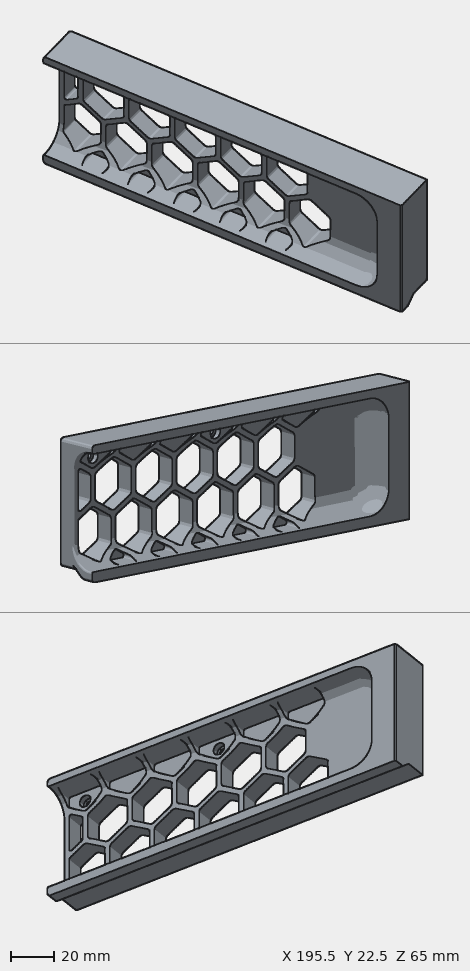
import cadquery as cq
import math

TOLERANCE = 0.02

LENGTH = 195.5
DEPTH = 22.5
HEIGHT = 65.0

LIP_DEPTH = 5.7
RAMP_END = 10.5
REAR_RAISE = 4.0

END_FILLET = 2.0
FRONT_CORNER_CHAMFER = 0.8
BACK_CHAMFER = 0.5

TROUGH_END = 182.2
TROUGH_BOTTOM = 5.0
TROUGH_TOP = 60.8
TROUGH_DEPTH = 13.1
TROUGH_CORNER = 11.7
TROUGH_FLOOR_FILLET = 11.0
MOUTH_FILLET = 1.0

HEX_FLATS = 22.3
HEX_PITCH = 25.0
ROW_PITCH = HEX_PITCH * math.sqrt(3) / 2
HEX_CORNER = 2.3
TRIMMED_CORNER = 1.2
FIRST_HEX_X = 12.1
LOWER_ROW_Z = 19.4
HEX_MARGIN = 3.1
LOWER_ROW_COUNT = 6
UPPER_ROW_COUNT = 5

SCREW_DIAMETER = 3.1
HEAD_DIAMETER = 6.0
HEAD_DEPTH = 3.1
SCREW_Z = 55.5
SCREW_CELLS = (0, 3)


def front_box(x_start, x_end, z_start, z_end, depth):
    """Block running from the front face back to the given depth."""
    return cq.Workplane("XY").box(
        x_end - x_start, depth, z_end - z_start, centered=False
    ).translate((x_start, 0, z_start))


def end_rounded_box(z_start, depth):
    """Full-length block whose top and bottom edges on the -X end are rounded."""
    box = front_box(0, LENGTH, z_start, HEIGHT, depth)
    return box.faces("<X").edges("|Y").fillet(END_FILLET)


def make_body():
    """Bar with a lower front lip; the ramp behind the lip meets the -X end sharply."""
    ramp_height = REAR_RAISE + END_FILLET
    ramp_run = (RAMP_END - LIP_DEPTH) * ramp_height / REAR_RAISE
    lip_profile = [
        (0, 0),
        (LIP_DEPTH, 0),
        (LIP_DEPTH + ramp_run, ramp_height),
        (0, ramp_height),
    ]
    lip = cq.Workplane("YZ").polyline(lip_profile).close().extrude(LENGTH)
    lip = lip.intersect(end_rounded_box(0, DEPTH))
    body = end_rounded_box(REAR_RAISE, DEPTH).union(lip)
    body = body.faces(">X").edges("<Y").chamfer(FRONT_CORNER_CHAMFER)
    return body.faces(">Y").edges().chamfer(BACK_CHAMFER)


def make_trough():
    """Solid of the trough: rounded at the +X end and running out past the -X end."""
    overrun = TROUGH_CORNER + TROUGH_FLOOR_FILLET
    trough = front_box(-overrun, TROUGH_END, TROUGH_BOTTOM, TROUGH_TOP, TROUGH_DEPTH)
    trough = trough.faces(">X").edges("|Y").fillet(TROUGH_CORNER)
    floor_edges = trough.faces(">Y").edges("not <X")
    return floor_edges.fillet(TROUGH_FLOOR_FILLET)


def make_cell(x, z, depth):
    """Hexagonal cutter with rounded corners, trimmed to the honeycomb window."""
    across_corners = HEX_FLATS / math.cos(math.pi / 6)
    cell = (
        cq.Workplane("XZ")
        .center(x, z)
        .transformed(rotate=(0, 0, 90))
        .polygon(6, across_corners)
        .extrude(-depth)
        .edges("|Y")
        .fillet(HEX_CORNER)
    )
    window = front_box(HEX_MARGIN, TROUGH_END, TROUGH_BOTTOM, TROUGH_TOP, depth)
    cell = cell.intersect(window)
    inside_window = cq.selectors.BoxSelector(
        (HEX_MARGIN + TOLERANCE, -TOLERANCE, TROUGH_BOTTOM + TOLERANCE),
        (TROUGH_END, depth + TOLERANCE, TROUGH_TOP - TOLERANCE),
    )
    trimmed_edges = cell.edges(cq.selectors.ParallelDirSelector(cq.Vector(0, 1, 0)) - inside_window)
    if trimmed_edges.size() == 0:
        return cell
    return trimmed_edges.fillet(TRIMMED_CORNER)


def cut_honeycomb(part):
    """Two rows of through cells between a row of blind pockets above and below."""
    offset_x = FIRST_HEX_X + HEX_PITCH / 2
    rows = [
        (-1, offset_x, UPPER_ROW_COUNT, TROUGH_DEPTH),
        (0, FIRST_HEX_X, LOWER_ROW_COUNT, DEPTH),
        (1, offset_x - HEX_PITCH, UPPER_ROW_COUNT + 1, DEPTH),
        (2, FIRST_HEX_X, LOWER_ROW_COUNT, TROUGH_DEPTH),
    ]
    for row, first_x, count, depth in rows:
        for column in range(count):
            cell = make_cell(first_x + column * HEX_PITCH, LOWER_ROW_Z + row * ROW_PITCH, depth)
            part = part.cut(cell)
    return part


def cut_screw_holes(part):
    """Counterbored holes from the pocket floor out through the back."""
    for column in SCREW_CELLS:
        start = cq.Vector(FIRST_HEX_X + column * HEX_PITCH, TROUGH_DEPTH, SCREW_Z)
        for diameter, depth in ((HEAD_DIAMETER, HEAD_DEPTH), (SCREW_DIAMETER, DEPTH)):
            part = part.cut(cq.Solid.makeCylinder(diameter / 2, depth, start, cq.Vector(0, 1, 0)))
    return part


def round_mouth(part):
    """Round the rim where the trough opens through the -X end."""
    mouth = cq.selectors.BoxSelector(
        (-TOLERANCE, TOLERANCE, TROUGH_BOTTOM - TOLERANCE),
        (TOLERANCE, TROUGH_DEPTH + TOLERANCE, TROUGH_TOP + TOLERANCE),
    )
    return part.edges(mouth).fillet(MOUTH_FILLET)


result = make_body().cut(make_trough())
result = round_mouth(result)
result = cut_honeycomb(result)
result = cut_screw_holes(result)